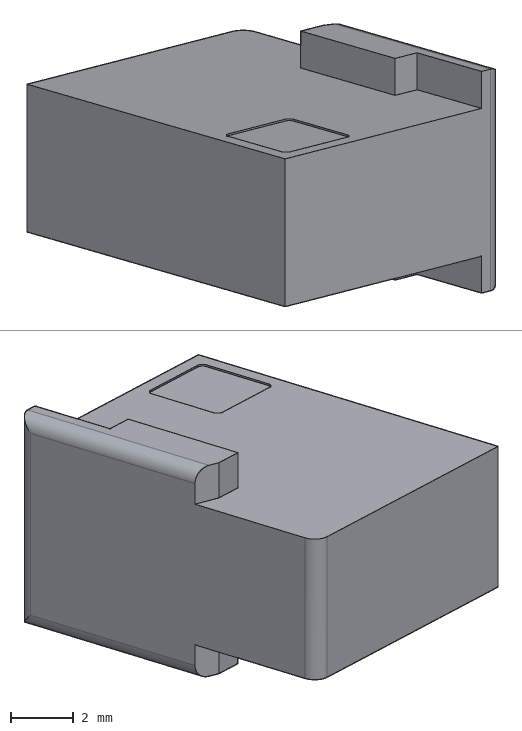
import cadquery as cq

length = 12.0
depth = 9.5
block_height = 4.9
corner_radius = 0.5

rail_height = 1.22
rail_start = 4.61
rail_step = 9.0
rail_width = 1.86
rail_narrow_width = 0.9
rail_bevel_length = 0.86
rail_bevel_inset = 0.3

pocket_side = 2.88
pocket_margin = 0.49
pocket_radius = 0.2
pocket_depth = 0.06

total_height = block_height + 2 * rail_height


def make_plan(height):
    """Full plan outline with rounded rear corners, centred on Z = 0."""
    plan = cq.Workplane("XY").box(length, depth, height, centered=(False, False, True))
    return plan.edges("|Z and >Y").fillet(corner_radius)


def make_rails():
    """Top and bottom rails as one tall prism, trimmed to the rounded plan and rear edges."""
    prism = (
        cq.Workplane("XY")
        .workplane(offset=-total_height / 2)
        .moveTo(rail_start + rail_bevel_inset, depth)
        .lineTo(rail_start, depth - rail_bevel_length)
        .lineTo(rail_start, depth - rail_width)
        .lineTo(rail_step, depth - rail_width)
        .lineTo(rail_step, depth - rail_narrow_width)
        .lineTo(length, depth - rail_narrow_width)
        .lineTo(length, depth)
        .close()
        .extrude(total_height)
    )
    rounded_bar = (
        cq.Workplane("XY")
        .box(length, depth, total_height, centered=(False, False, True))
        .edges("|X and >Y")
        .fillet(corner_radius)
    )
    return prism.intersect(rounded_bar).intersect(make_plan(total_height))


def make_pocket():
    """Cutter for the badge pocket."""
    center_offset = pocket_margin + pocket_side / 2
    return (
        cq.Workplane("XY")
        .workplane(offset=block_height / 2 - pocket_depth)
        .center(length - center_offset, center_offset)
        .rect(pocket_side, pocket_side)
        .extrude(pocket_depth)
        .edges("|Z")
        .fillet(pocket_radius)
    )


result = make_plan(block_height).union(make_rails()).cut(make_pocket())